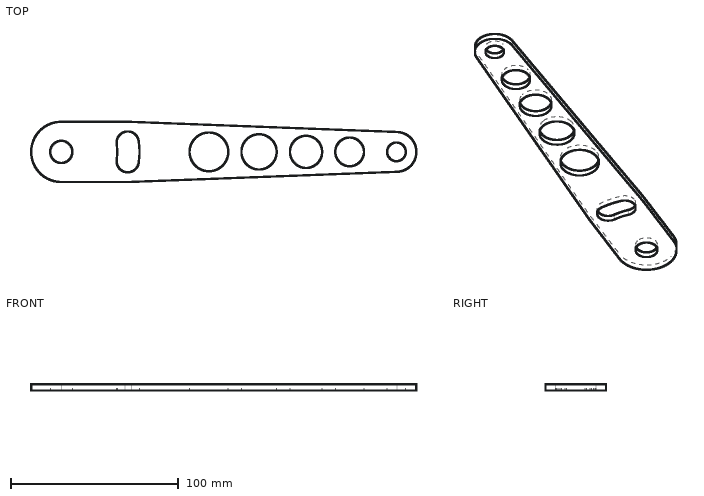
import cadquery as cq
import math

length = 230.0
width = 36.0
thickness = 4.0
tip_radius = 12.0
taper_start = 40.0
blend_radius = 100.0

pivot_diameter = 13.0
tip_hole_diameter = 11.0

slot_path_radius = 40.0
slot_width = 13.0
slot_half_angle = 8.0

lightening_holes = [(88.0, 23.0), (118.0, 21.0), (146.0, 19.0), (172.0, 17.0)]

wide_radius = width / 2
tip_center = length - wide_radius - tip_radius


def make_plate():
    """Flat arm with parallel sides that taper tangentially into the small end."""
    run = tip_center - taper_start
    corner_distance = math.hypot(run, wide_radius)
    taper = math.atan2(wide_radius, run) - math.asin(tip_radius / corner_distance)
    tangent_x = tip_center + tip_radius * math.sin(taper)
    tangent_y = tip_radius * math.cos(taper)

    blend_start_x = taper_start - blend_radius * math.tan(taper / 2)

    def blend_point(angle):
        x = blend_start_x + blend_radius * math.sin(angle)
        y = wide_radius - blend_radius * (1 - math.cos(angle))
        return (x, y)

    blend_middle_x, blend_middle_y = blend_point(taper / 2)
    blend_end_x, blend_end_y = blend_point(taper)

    return (
        cq.Workplane("XY")
        .moveTo(0, wide_radius)
        .lineTo(blend_start_x, wide_radius)
        .threePointArc((blend_middle_x, blend_middle_y), (blend_end_x, blend_end_y))
        .lineTo(tangent_x, tangent_y)
        .threePointArc((tip_center + tip_radius, 0), (tangent_x, -tangent_y))
        .lineTo(blend_end_x, -blend_end_y)
        .threePointArc((blend_middle_x, -blend_middle_y), (blend_start_x, -wide_radius))
        .lineTo(0, -wide_radius)
        .threePointArc((-wide_radius, 0), (0, wide_radius))
        .close()
        .extrude(thickness)
    )


def make_hole(x, diameter):
    return cq.Workplane("XY").center(x, 0).circle(diameter / 2).extrude(thickness)


def make_curved_slot():
    """Round-ended slot following an arc around the pivot."""
    angle = math.radians(slot_half_angle)

    def polar(radius, direction):
        return (radius * math.cos(direction), radius * math.sin(direction))

    inner = slot_path_radius - slot_width / 2
    outer = slot_path_radius + slot_width / 2
    band = (
        cq.Workplane("XY")
        .moveTo(*polar(inner, -angle))
        .lineTo(*polar(outer, -angle))
        .threePointArc((outer, 0), polar(outer, angle))
        .lineTo(*polar(inner, angle))
        .threePointArc((inner, 0), polar(inner, -angle))
        .close()
        .extrude(thickness)
    )
    end_centers = [polar(slot_path_radius, side * angle) for side in (-1, 1)]
    ends = cq.Workplane("XY").pushPoints(end_centers).circle(slot_width / 2).extrude(thickness)
    return band.union(ends)


result = make_plate().cut(make_curved_slot())
end_holes = [(0, pivot_diameter), (tip_center, tip_hole_diameter)]
for hole_x, hole_diameter in end_holes + lightening_holes:
    result = result.cut(make_hole(hole_x, hole_diameter))